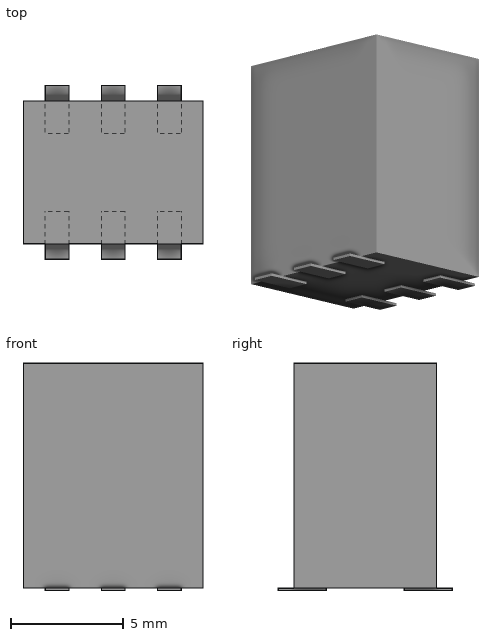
import cadquery as cq

overall_width = 8.0
overall_depth = 7.74
overall_height = 10.11

housing_depth = 6.35

lead_thickness = 0.11
lead_width = 1.06
lead_length = 2.14
lead_pitch = 2.5
leads_per_row = 3


def make_housing():
    """Plain block resting on top of the leads."""
    height = overall_height - lead_thickness
    return (
        cq.Workplane("XY")
        .workplane(offset=lead_thickness)
        .rect(overall_width, housing_depth)
        .extrude(height)
    )


def make_lead(x, side):
    """Flat strip at x whose outer end reaches the overall depth on one side (-1 or +1)."""
    y = side * (overall_depth - lead_length) / 2
    return cq.Workplane("XY").center(x, y).rect(lead_width, lead_length).extrude(lead_thickness)


housing = make_housing()

leads = []
for side in (-1, 1):
    for index in range(leads_per_row):
        x = (index - (leads_per_row - 1) / 2) * lead_pitch
        leads.append(make_lead(x, side))

result = cq.Compound.makeCompound([housing.val(), *[lead.val() for lead in leads]])